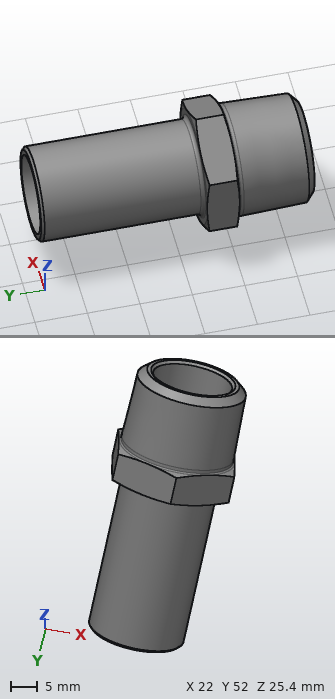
import cadquery as cq
import math

total_length = 52.0

bore_radius = 15.0 / 2
bore_chamfer = 0.5

thread_base_radius = 21.3 / 2
thread_tip_radius = 10.3
thread_chamfer_length = 1.4
thread_chamfer_depth = 1.55
taper_end_y = 13.95
neck_fillet = 0.25

hex_across_flats = 22.0
hex_corner_radius = hex_across_flats / math.sqrt(3)
hex_front_y = 14.8
hex_back_y = 21.0
hex_face_radius = 10.95
hex_chamfer_angle = math.radians(15)

tube_radius = 18.0 / 2
tube_fillet = 0.8
tube_chamfer_length = 0.5
tube_chamfer_depth = 0.5

FILLET_MIDPOINT = 1 - math.sqrt(0.5)


def revolve_about_y(profile):
    """Close a (radius, y) outline and turn it around the Y axis."""
    return profile.close().revolve(360, (0, 0, 0), (0, 1, 0))


def make_body():
    """Thread, neck and tube as one revolved solid running through the hexagon."""
    neck_mid = neck_fillet * FILLET_MIDPOINT
    tube_mid = tube_fillet * FILLET_MIDPOINT
    profile = (
        cq.Workplane("XY")
        .moveTo(0, 0)
        .lineTo(thread_tip_radius - thread_chamfer_depth, 0)
        .lineTo(thread_tip_radius, thread_chamfer_length)
        .lineTo(thread_base_radius, taper_end_y)
        .lineTo(thread_base_radius, hex_front_y - neck_fillet)
        .threePointArc(
            (thread_base_radius + neck_mid, hex_front_y - neck_mid),
            (thread_base_radius + neck_fillet, hex_front_y),
        )
        .lineTo(thread_base_radius + neck_fillet, hex_back_y)
        .lineTo(tube_radius + tube_fillet, hex_back_y)
        .threePointArc(
            (tube_radius + tube_mid, hex_back_y + tube_mid),
            (tube_radius, hex_back_y + tube_fillet),
        )
        .lineTo(tube_radius, total_length - tube_chamfer_length)
        .lineTo(tube_radius - tube_chamfer_depth, total_length)
        .lineTo(0, total_length)
    )
    return revolve_about_y(profile)


def make_hexagon():
    """Hexagon with corners on the Z axis and conical chamfers on both faces."""
    corners = [
        (hex_corner_radius * math.sin(i * math.pi / 3), hex_corner_radius * math.cos(i * math.pi / 3))
        for i in range(6)
    ]
    prism = (
        cq.Workplane("XZ", origin=(0, hex_back_y, 0))
        .polyline(corners)
        .close()
        .extrude(hex_back_y - hex_front_y)
    )
    chamfer_length = (hex_corner_radius - hex_face_radius) * math.tan(hex_chamfer_angle)
    envelope = (
        cq.Workplane("XY")
        .moveTo(0, hex_front_y)
        .lineTo(hex_face_radius, hex_front_y)
        .lineTo(hex_corner_radius, hex_front_y + chamfer_length)
        .lineTo(hex_corner_radius, hex_back_y - chamfer_length)
        .lineTo(hex_face_radius, hex_back_y)
        .lineTo(0, hex_back_y)
    )
    return prism.intersect(revolve_about_y(envelope))


def make_bore():
    """Through bore, widened by a chamfer at the threaded end."""
    profile = (
        cq.Workplane("XY")
        .moveTo(0, 0)
        .lineTo(bore_radius + bore_chamfer, 0)
        .lineTo(bore_radius, bore_chamfer)
        .lineTo(bore_radius, total_length)
        .lineTo(0, total_length)
    )
    return revolve_about_y(profile)


result = make_body().union(make_hexagon()).cut(make_bore())